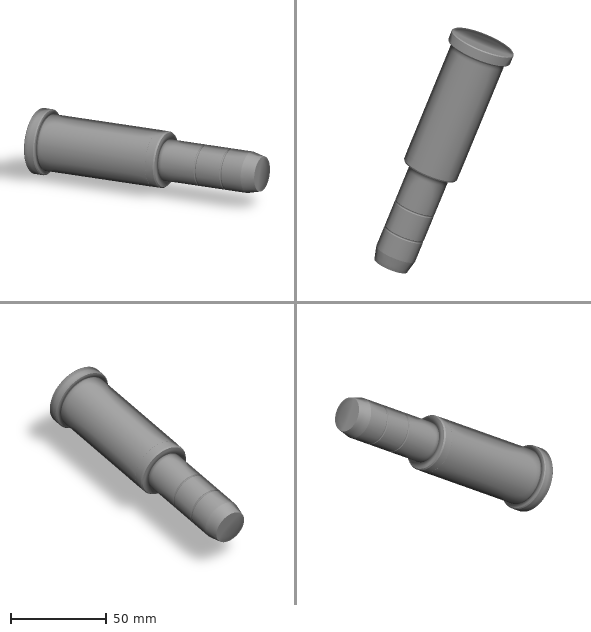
import cadquery as cq

total_length = 131.0

head_diameter = 35.0
head_length = 6.0
head_chamfer = 0.5

body_diameter = 30.1
body_end = 75.2
body_chamfer_length = 0.8
body_chamfer_depth = 0.5
undercut_length = 0.9
undercut_depth = 0.5

lead_diameter = 30.0
lead_start = 70.0

shaft_diameter = 22.0
root_length = 0.4
root_depth = 0.4

tip_diameter = 18.6
tip_length = 7.1

groove_starts = (96.4, 111.5)
groove_width = 1.2
groove_depth = 0.5

head_radius = head_diameter / 2
body_radius = body_diameter / 2
lead_radius = lead_diameter / 2
shaft_radius = shaft_diameter / 2
tip_radius = tip_diameter / 2
undercut_radius = body_radius - undercut_depth
root_radius = shaft_radius - root_depth
root_end = body_end + root_length
tip_start = total_length - tip_length


def head_and_body(profile):
    """Trace the chamfered head, the undercut and the body."""
    return (
        profile.lineTo(0, head_radius - head_chamfer)
        .lineTo(head_chamfer, head_radius)
        .lineTo(head_length - head_chamfer, head_radius)
        .lineTo(head_length, head_radius - head_chamfer)
        .lineTo(head_length, undercut_radius)
        .lineTo(head_length + undercut_length, undercut_radius)
        .lineTo(head_length + undercut_length, body_radius)
        .lineTo(lead_start, body_radius)
        .lineTo(lead_start, lead_radius)
        .lineTo(body_end - body_chamfer_length, lead_radius)
        .lineTo(body_end, lead_radius - body_chamfer_depth)
    )


def shaft_and_tip(profile):
    """Trace the shaft with its root relief, rounded grooves and tapered tip."""
    profile = (
        profile.lineTo(body_end, root_radius)
        .lineTo(root_end, root_radius)
        .lineTo(root_end, shaft_radius)
    )
    for start in groove_starts:
        profile = profile.lineTo(start, shaft_radius).threePointArc(
            (start + groove_width / 2, shaft_radius - groove_depth),
            (start + groove_width, shaft_radius),
        )
    return (
        profile.lineTo(tip_start, shaft_radius)
        .lineTo(total_length, tip_radius)
        .lineTo(total_length, 0)
    )


pin_profile = shaft_and_tip(head_and_body(cq.Workplane("XY"))).close()
result = pin_profile.revolve(360, (0, 0, 0), (1, 0, 0))